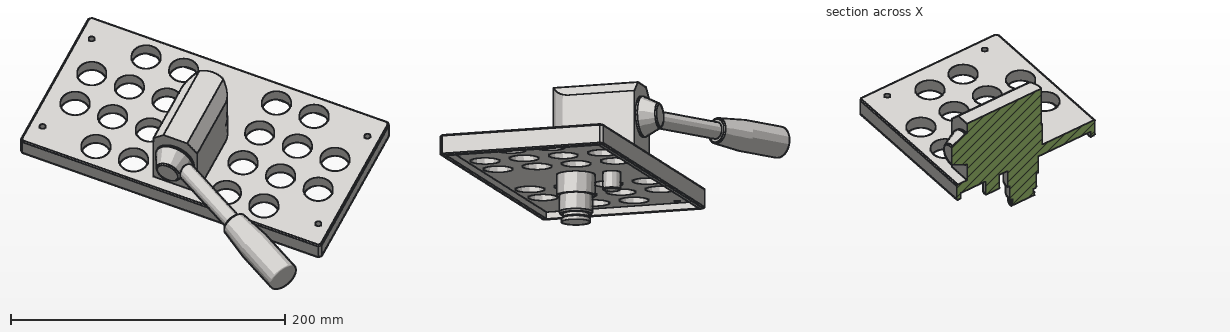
import cadquery as cq
import math

plate_length = 240.0
plate_width = 125.0
plate_thickness = 15.0
plate_corner_chamfer = 2.0
plate_edge_chamfer = 1.0
recess_depth = 5.0
rim_width = 4.0

hole_diameter = 21.5
hole_pitch = 30.0
inner_column_x = 37.0
long_rows = (-0.5, 0.5)
short_rows = (-1.5, 1.5)
corner_hole_diameter = 4.5
corner_hole_x = 110.0
corner_hole_y = 44.0

block_width = 35.0
block_height = 54.0
block_chamfer = 8.0
block_front_y = -53.25
spigot_y = -2.5
lower_round_height = 19.0
lower_round_depth = block_width / 2
upper_round_depth = 16.6

hub_diameter = 30.0
hub_rim_length = 1.5
hub_length = 14.0
hub_end_diameter = 18.5
hub_end_chamfer = 1.0
hub_height = 30.0

lever_angle = 30.0
rod_diameter = 12.5
grip_start = 72.4
grip_shoulder = 98.2
grip_end = 135.7
grip_start_diameter = 19.0
grip_diameter = 23.2
grip_start_chamfer = 1.0
grip_end_fillet = 1.5
grip_crown_height = 1.0

collar_diameter = 28.0
collar_depth = 10.3
body_diameter = 24.5
body_depth = 24.0
body_chamfer = 1.0
body_chamfer_height = 1.5
neck_diameter = 19.0
neck_depth = 26.4
flange_diameter = 21.0
flange_chamfer = (flange_diameter - neck_diameter) / 2
spigot_length = 30.1
pin_diameter = 13.0
pin_length = 8.0
pin_chamfer = 0.8
pin_y = -30.0


def make_plate():
    """Chamfered plate, recessed underneath, with the hole field and four corner holes."""
    plate = cq.Workplane("XY").box(plate_length, plate_width, plate_thickness, centered=(True, True, False))
    plate = plate.edges("|Z").chamfer(plate_corner_chamfer)
    plate = plate.faces("<Z or >Z").chamfer(plate_edge_chamfer)
    recess = cq.Workplane("XY").rect(plate_length - 2 * rim_width, plate_width - 2 * rim_width)
    plate = plate.cut(recess.extrude(recess_depth))
    plate = plate.cut(make_holes(hole_points(), hole_diameter))
    return plate.cut(make_holes(corner_points(), corner_hole_diameter))


def hole_points():
    """Centres of the large holes: three columns per side in the long rows, two in the short rows."""
    points = []
    for rows, columns in ((long_rows, 3), (short_rows, 2)):
        for row in rows:
            for column in range(columns):
                x = inner_column_x + column * hole_pitch
                points += [(-x, row * hole_pitch), (x, row * hole_pitch)]
    return points


def corner_points():
    """Centres of the four small holes near the plate corners."""
    return [(sx * corner_hole_x, sy * corner_hole_y) for sx in (-1, 1) for sy in (-1, 1)]


def make_holes(points, diameter):
    """Cylinders that run through the plate at the given centres."""
    return cq.Workplane("XY").pushPoints(points).circle(diameter / 2).extrude(plate_thickness)


def make_rounded_prism(round_depth, height):
    """Prism on the plate with a flat front and a rear that bulges by round_depth."""
    half = block_width / 2
    return (
        cq.Workplane("XY", origin=(0, 0, plate_thickness))
        .moveTo(-half, block_front_y)
        .lineTo(half, block_front_y)
        .lineTo(half, spigot_y)
        .threePointArc((0, spigot_y + round_depth), (-half, spigot_y))
        .close()
        .extrude(height)
    )


def make_block():
    """Upright block: bevelled top edges and a rear that steps out near the plate."""
    upper = make_rounded_prism(upper_round_depth, block_height)
    half = block_width / 2
    top = plate_thickness + block_height
    bevel_bottom = top - block_chamfer
    bevel_inner = half - block_chamfer
    for side in (-1, 1):
        bevel = (
            cq.Workplane("XZ", origin=(0, block_front_y, 0))
            .polyline([(side * half, top), (side * bevel_inner, top), (side * half, bevel_bottom)])
            .close()
            .extrude(2 * block_front_y)
        )
        upper = upper.cut(bevel)
    return upper.union(make_rounded_prism(lower_round_depth, lower_round_height))


def make_hub():
    """Conical hub with a short cylindrical rim, turned about the Y direction."""
    end_radius = hub_end_diameter / 2
    profile = [
        (0, 0),
        (hub_diameter / 2, 0),
        (hub_diameter / 2, hub_rim_length),
        (end_radius, hub_length - hub_end_chamfer),
        (end_radius - hub_end_chamfer, hub_length),
        (0, hub_length),
    ]
    outline = [(radius, -distance) for radius, distance in profile]
    return (
        cq.Workplane("XY", origin=(0, block_front_y, plate_thickness + hub_height))
        .polyline(outline)
        .close()
        .revolve(360, (0, 0, 0), (0, 1, 0))
    )


def make_lever():
    """Rod and grip turned about the lever axis, which slopes forward in the horizontal plane."""
    angle = math.radians(lever_angle)
    direction = cq.Vector(math.cos(angle), -math.sin(angle), 0)
    lever_plane = cq.Plane(
        origin=(0, block_front_y, plate_thickness + hub_height), xDir=direction, normal=(0, 0, 1)
    )
    rod_radius = rod_diameter / 2
    start_radius = grip_start_diameter / 2
    radius = grip_diameter / 2
    edge_x = grip_end - grip_crown_height
    rod_root = hub_end_diameter / 2
    return (
        cq.Workplane(lever_plane)
        .moveTo(rod_root, 0)
        .lineTo(rod_root, rod_radius)
        .lineTo(grip_start, rod_radius)
        .lineTo(grip_start, start_radius - grip_start_chamfer)
        .lineTo(grip_start + grip_start_chamfer, start_radius)
        .lineTo(grip_shoulder, radius)
        .lineTo(edge_x - grip_end_fillet, radius)
        .radiusArc((edge_x, radius - grip_end_fillet), grip_end_fillet)
        .lineTo(grip_end, 0)
        .close()
        .revolve(360, (0, 0, 0), (1, 0, 0))
    )


def make_spigot():
    """Stepped locating spigot with a grooved end, turned about Z and rooted in the recess."""
    body_radius = body_diameter / 2
    neck_radius = neck_diameter / 2
    profile = [
        (0, recess_depth),
        (collar_diameter / 2, recess_depth),
        (collar_diameter / 2, -collar_depth),
        (body_radius, -collar_depth),
        (body_radius, body_chamfer_height - body_depth),
        (body_radius - body_chamfer, -body_depth),
        (neck_radius, -body_depth),
        (neck_radius, -neck_depth),
        (flange_diameter / 2, -neck_depth - flange_chamfer),
        (flange_diameter / 2, -spigot_length),
        (0, -spigot_length),
    ]
    spigot = cq.Workplane("XZ").polyline(profile).close().revolve(360, (0, 0, 0), (0, 1, 0))
    return spigot.translate((0, spigot_y, 0))


def make_pin():
    """Chamfered locating pin below the plate, in front of the spigot."""
    pin = cq.Workplane("XY", origin=(0, pin_y, recess_depth))
    pin = pin.circle(pin_diameter / 2).extrude(-recess_depth - pin_length)
    return pin.faces("<Z").chamfer(pin_chamfer)


result = make_plate()
for feature in (make_block(), make_hub(), make_lever(), make_spigot(), make_pin()):
    result = result.union(feature)